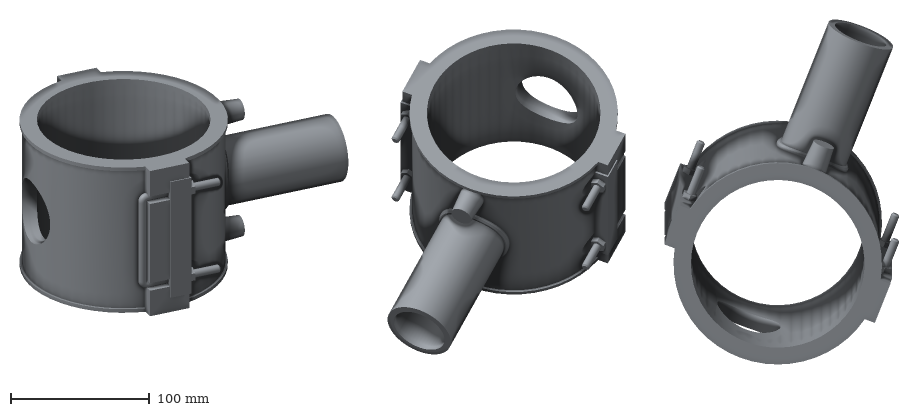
import cadquery as cq
import math

HEIGHT = 118.0
BORE_RADIUS = 62.5
SLEEVE_RADIUS = 73.5
RIM_RADIUS = 75.0
RIM_HEIGHT = 3.0
OVERALL_LENGTH = 241.5

LUG_REACH = 81.1
LUG_FRONT = 16.0
LUG_BACK = 15.2

PLATE_SPAN = 164.0
PLATE_REACH = PLATE_SPAN / 2
PLATE_BACK = 16.7
PLATE_HEIGHT = 94.2

PIPE_DIAMETER = 50.0
PIPE_BORE = 40.0
PIPE_END = OVERALL_LENGTH - RIM_RADIUS
COLLAR_DIAMETER = 55.0
COLLAR_RADIUS = 76.3
COLLAR_CHAMFER = 1.2
OPENING_DIAMETER = 49.0

PEG_Z = 47.3
PEG_END = 92.2
PEG_END_DIAMETER = 15.7
PEG_BASE_DIAMETER = 18.4

BOLT_DIAMETER = 6.0
BOLT_X = 75.0
BOLT_Z = 35.3
BOLT_BEND_RADIUS = 3.1
BOLT_END = 41.8
BOLT_END_CHAMFER = 1.0
NUT_FLATS = 10.0
NUT_TOP = 20.5
POCKET_RADIUS = 14.0


def cylinder_z(radius, height):
    """Solid cylinder along Z, centred on the origin."""
    return cq.Workplane("XY").circle(radius).extrude(height / 2, both=True)


def cylinder_y(diameter, y_start, y_end, x=0.0, z=0.0):
    """Solid cylinder along Y from y_start to y_end."""
    plane = cq.Plane(origin=(x, y_start, z), xDir=(1, 0, 0), normal=(0, 1, 0))
    return cq.Workplane(plane).circle(diameter / 2).extrude(y_end - y_start)


def block(x_range, y_range, z_range):
    """Box spanning the given ranges."""
    sizes = [high - low for low, high in (x_range, y_range, z_range)]
    corner = (x_range[0], y_range[0], z_range[0])
    return cq.Workplane("XY").box(*sizes, centered=False).translate(corner)


def make_sleeve():
    """Cylinder with a rim at each end and the two lugs; the bore is still filled."""
    sleeve = cylinder_z(SLEEVE_RADIUS, HEIGHT)
    rim = cylinder_z(RIM_RADIUS, RIM_HEIGHT)
    for side in (-1, 1):
        sleeve = sleeve.union(rim.translate((0, 0, side * (HEIGHT - RIM_HEIGHT) / 2)))
    half_height = HEIGHT / 2
    lugs = block((-LUG_REACH, LUG_REACH), (-LUG_FRONT, LUG_BACK), (-half_height, half_height))
    return sleeve.union(lugs)


def make_plates():
    """Plates covering the side and back of both lugs, buried in the sleeve."""
    half_height = PLATE_HEIGHT / 2
    return block((-PLATE_REACH, PLATE_REACH), (0, PLATE_BACK), (-half_height, half_height))


def make_collar():
    """Saddle-shaped weld collar with a chamfered outer edge."""
    collar = cylinder_y(COLLAR_DIAMETER, 0, PIPE_END)
    collar = collar.intersect(cylinder_z(COLLAR_RADIUS, HEIGHT))
    return collar.faces(">Y").edges().chamfer(COLLAR_CHAMFER)


def make_peg(z):
    """Tapered peg that narrows from the sleeve surface towards +Y."""
    length = PEG_END - SLEEVE_RADIUS
    slope = (PEG_BASE_DIAMETER - PEG_END_DIAMETER) / 2 / length
    root = (BORE_RADIUS + SLEEVE_RADIUS) / 2
    root_radius = PEG_BASE_DIAMETER / 2 + slope * (SLEEVE_RADIUS - root)
    outline = [(0, root), (root_radius, root), (PEG_END_DIAMETER / 2, PEG_END), (0, PEG_END)]
    peg = cq.Workplane("XY").polyline(outline).close().revolve(360, (0, 0), (0, 1))
    return peg.translate((0, 0, z))


def make_bolt(x):
    """U-bolt: two legs along Y, tight bends and a bar along the lug front."""
    bar_y = -LUG_FRONT - BOLT_BEND_RADIUS
    bar_half = BOLT_Z - BOLT_BEND_RADIUS
    bend_shift = BOLT_BEND_RADIUS * math.sin(math.pi / 4)
    bend_mid = (-LUG_FRONT - bend_shift, bar_half + bend_shift)
    path = (
        cq.Workplane("YZ", origin=(x, 0, 0))
        .moveTo(BOLT_END, -BOLT_Z)
        .lineTo(-LUG_FRONT, -BOLT_Z)
        .threePointArc((bend_mid[0], -bend_mid[1]), (bar_y, -bar_half))
        .lineTo(bar_y, bar_half)
        .threePointArc(bend_mid, (-LUG_FRONT, BOLT_Z))
        .lineTo(BOLT_END, BOLT_Z)
    )
    plane = cq.Plane(origin=(x, BOLT_END, -BOLT_Z), xDir=(1, 0, 0), normal=(0, -1, 0))
    bolt = cq.Workplane(plane).circle(BOLT_DIAMETER / 2).sweep(path)
    return bolt.faces(">Y").chamfer(BOLT_END_CHAMFER)


def make_nut(x, z):
    """Hexagon nut on the plate, with two corners pointing along Z."""
    plane = cq.Plane(origin=(x, LUG_BACK, z), xDir=(0, 0, 1), normal=(0, 1, 0))
    corner_diameter = NUT_FLATS / math.cos(math.pi / 6)
    return cq.Workplane(plane).polygon(6, corner_diameter).extrude(NUT_TOP - LUG_BACK)


def make_slot(side, z):
    """Slot for one bolt leg through the front half of a lug, open to the outside."""
    half_width = BOLT_DIAMETER / 2
    x_range = sorted((side * BOLT_X, side * PLATE_REACH))
    slot = block(x_range, (-LUG_FRONT, 0), (z - half_width, z + half_width))
    return slot.union(cylinder_y(BOLT_DIAMETER, -LUG_FRONT, 0, side * BOLT_X, z))


sides = (-1, 1)
body = make_sleeve()

for side_x in sides:
    for side_z in sides:
        bolt_z = side_z * BOLT_Z
        pocket = cylinder_y(2 * POCKET_RADIUS, LUG_BACK, PIPE_END, side_x * LUG_REACH, bolt_z)
        body = body.cut(pocket).cut(make_slot(side_x, bolt_z))

body = body.union(make_plates())

body = body.union(cylinder_y(PIPE_DIAMETER, 0, PIPE_END)).union(make_collar())
for side_z in sides:
    body = body.union(make_peg(side_z * PEG_Z))

body = body.cut(cylinder_z(BORE_RADIUS, HEIGHT))
body = body.cut(cylinder_y(PIPE_BORE, 0, PIPE_END))
body = body.cut(cylinder_y(OPENING_DIAMETER, -RIM_RADIUS, 0))

for side_x in sides:
    body = body.union(make_bolt(side_x * BOLT_X))
    for side_z in sides:
        body = body.union(make_nut(side_x * BOLT_X, side_z * BOLT_Z))

result = body